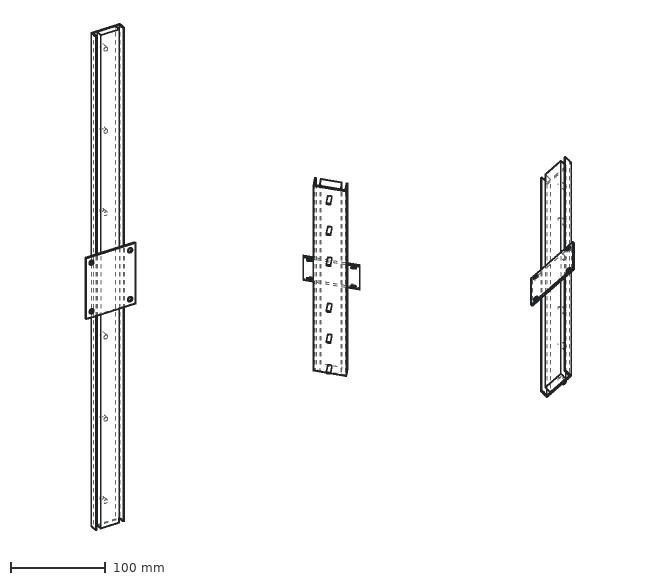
import cadquery as cq

rail_length = 610.0
total_depth = 19.5

channel_width = 35.5
channel_depth = 9.0
wall = 1.5

bar_width = 22.5
plate_width = 60.5
plate_height = 75.0
plate_thickness = 2.0
plate_hole_diameter = 5.5
plate_centre_height = -1.5
plate_hole_spacing_y = 47.5
plate_hole_spacing_z = 60.5

pin_diameter = 4.6
pin_pitch = rail_length / 6
inner_pin_height = rail_length / 8
pins_per_group = 3

plate_back = total_depth / 2
plate_front = plate_back - plate_thickness
web_front = plate_front - channel_depth
web_back = web_front + wall
pin_tip = -total_depth / 2

pin_heights = [
    side * (inner_pin_height + step * pin_pitch)
    for side in (-1, 1)
    for step in range(pins_per_group)
]


def block(x_start, x_end, width, height):
    """Box between two X positions, centred on the Y and Z axes."""
    return cq.Workplane("XY").box(x_end - x_start, width, height).translate(((x_start + x_end) / 2, 0, 0))


def make_channel():
    """Full-length channel, open toward +X."""
    envelope = block(web_front, plate_front, channel_width, rail_length)
    opening = block(web_back, plate_front, channel_width - 2 * wall, rail_length)
    return envelope.cut(opening)


def make_slider():
    """Bar and mounting plate in one piece, with four holes through the plate."""
    bar = block(web_back, plate_front, bar_width, rail_length)
    plate = block(plate_front, plate_back, plate_width, plate_height).translate((0, 0, plate_centre_height))
    holes = (
        cq.Workplane("YZ", origin=(plate_front, 0, plate_centre_height))
        .rarray(plate_hole_spacing_y, plate_hole_spacing_z, 2, 2)
        .circle(plate_hole_diameter / 2)
        .extrude(plate_thickness)
    )
    return bar.union(plate).cut(holes)


def make_pin(height):
    """Round pin ending on the front face of the web."""
    return (
        cq.Workplane("YZ", origin=(pin_tip, 0, height))
        .circle(pin_diameter / 2)
        .extrude(web_front - pin_tip)
    )


channel = make_channel()
slider = make_slider()
pins = [make_pin(height) for height in pin_heights]

result = cq.Compound.makeCompound([channel.val(), slider.val(), *[pin.val() for pin in pins]])